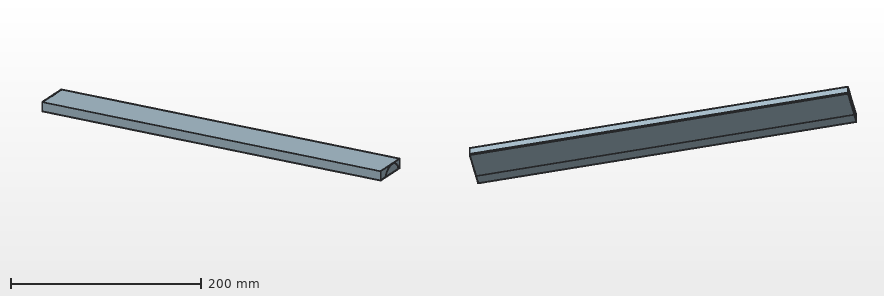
import cadquery as cq
import math

outer_length = 408.0
outer_width = 52.0
thickness = 10.5
tilt_degrees = 1.42

tilt = math.radians(tilt_degrees)
bar_length = (outer_length * math.cos(tilt) - outer_width * math.sin(tilt)) / math.cos(2 * tilt)
bar_width = (outer_width * math.cos(tilt) - outer_length * math.sin(tilt)) / math.cos(2 * tilt)

arch_radius = 15.0
arch_offset = 4.0
web_thickness = 0.5
lip_thickness = 1.43
lip_setback = 0.6

side = bar_width / 2
bottom = -thickness / 2
crown = thickness / 2 - web_thickness
arch_centre = crown - arch_radius
lip_top = bottom + lip_thickness
lip_edge = side - lip_setback


def arch_half_width(height):
    """Half the width of the arch at a given height."""
    return math.sqrt(arch_radius**2 - (height - arch_centre) ** 2)


def make_core():
    """Arched strip with a thin lip along its +Y side, as long as the bar."""
    return (
        cq.Workplane("YZ", origin=(-bar_length / 2, 0, 0))
        .moveTo(arch_offset - arch_half_width(bottom), bottom)
        .threePointArc((arch_offset, crown), (arch_offset + arch_half_width(lip_top), lip_top))
        .lineTo(lip_edge, lip_top)
        .lineTo(lip_edge, bottom)
        .close()
        .extrude(bar_length)
    )


def make_edge_step():
    """Strip between the edge of the lip and the +Y side, left open beside the lip."""
    step = cq.Workplane("XY").box(bar_length, lip_setback, lip_thickness)
    return step.translate((0, (lip_edge + side) / 2, (bottom + lip_top) / 2))


def make_housing():
    """Rectangular bar with the recess for the core and the step beside the lip cut out."""
    bar = cq.Workplane("XY").box(bar_length, bar_width, thickness)
    return bar.cut(make_core()).cut(make_edge_step())


def tilted(body):
    """Turn a body about the vertical axis into its final place."""
    return body.rotate((0, 0, 0), (0, 0, 1), tilt_degrees)


housing = tilted(make_housing())
core = tilted(make_core())

result = cq.Compound.makeCompound([housing.val(), core.val()])